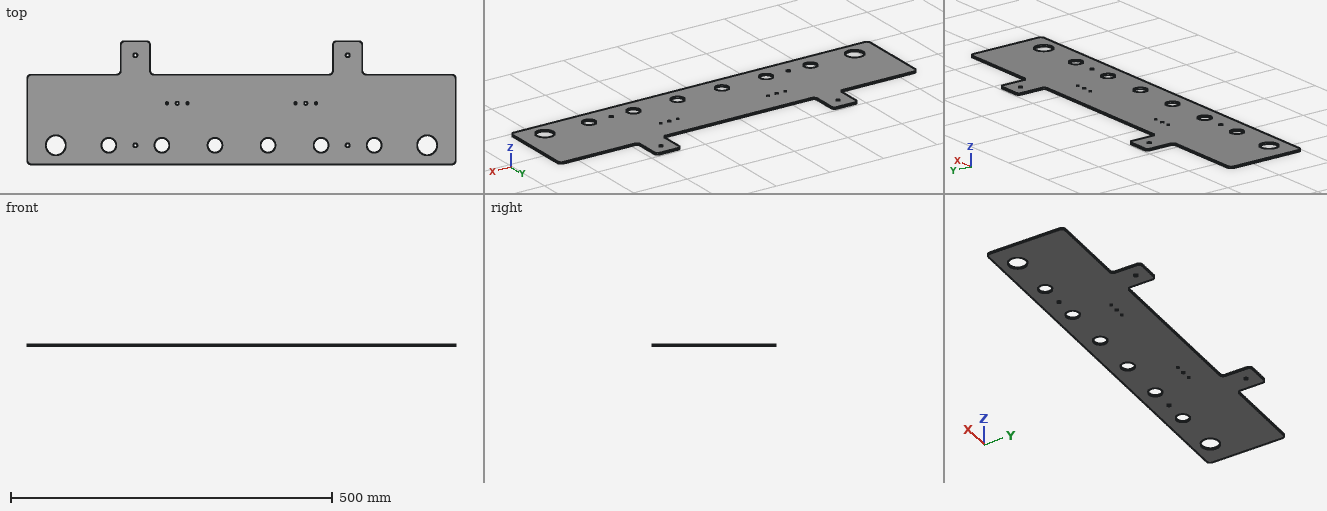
import cadquery as cq

length = 667.0
body_width = 140.0
overall_width = 192.0
thickness = 3.2
corner_radius = 7.0

tab_spacing = 330.0
tab_width = 46.0
tab_corner_radius = 6.0
tab_root_radius = 6.0

row_y = 30.0
row_pitch = tab_spacing / 4
small_opening_diameter = 23.0
small_opening_count = 6
end_opening_diameter = 31.0

mounting_diameter = 6.0
mounting_spacing = 140.0

group_spacing = 200.0
group_y = 95.5
pilot_offset = 16.0
group_center_diameter = 5.0
pilot_diameter = 3.5

tab_centers = (-tab_spacing / 2, tab_spacing / 2)


def block(center_x, width, depth, radius):
    """Plate of the given size from Y = 0, with rounded vertical corners."""
    return (
        cq.Workplane("XY")
        .center(center_x, depth / 2)
        .rect(width, depth)
        .extrude(thickness)
        .edges("|Z")
        .fillet(radius)
    )


def drill(plate, points, diameter):
    """Cut through holes of one diameter at the given points."""
    cutters = cq.Workplane("XY").pushPoints(points).circle(diameter / 2).extrude(thickness)
    return plate.cut(cutters)


def make_outline():
    """Body and tabs, with rounded inside corners at the tab roots."""
    plate = block(0, length, body_width, corner_radius)
    for x in tab_centers:
        plate = plate.union(block(x, tab_width, overall_width, tab_corner_radius))
    for x in tab_centers:
        for side in (-1, 1):
            root = (x + side * tab_width / 2, body_width, thickness / 2)
            plate = plate.edges(cq.selectors.NearestToPointSelector(root)).fillet(tab_root_radius)
    return plate


plate = make_outline()

half_row = (small_opening_count - 1) / 2
small_openings = [((i - half_row) * row_pitch, row_y) for i in range(small_opening_count)]
end_x = (half_row + 1) * row_pitch
plate = drill(plate, small_openings, small_opening_diameter)
plate = drill(plate, [(-end_x, row_y), (end_x, row_y)], end_opening_diameter)

mounting_points = [(x, y) for x in tab_centers for y in (row_y, row_y + mounting_spacing)]
plate = drill(plate, mounting_points, mounting_diameter)

for x in (-group_spacing / 2, group_spacing / 2):
    pilots = [(x - pilot_offset, group_y), (x + pilot_offset, group_y)]
    plate = drill(plate, [(x, group_y)], group_center_diameter)
    plate = drill(plate, pilots, pilot_diameter)

result = plate